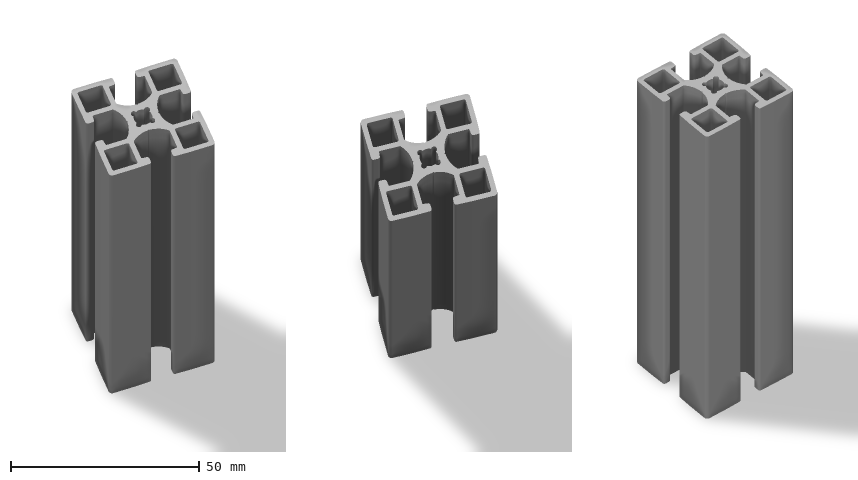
import cadquery as cq

LENGTH = 100.0
HALF_WIDTH = 30.0 / 2
CORNER_RADIUS = 1.0

SLOT_HALF_OPENING = 3.1
CHANNEL_HALF_WIDTH = 5.1
LIP_SLOPE_START = 8.0
LIP_SLOPE_DROP = 0.12
LIP_INNER_DEPTH = 2.4
LIP_ROOT_DEPTH = 2.6
LIP_RADIUS = 0.6
LIP_ROOT_RADIUS = 0.2
FLOOR_CENTER = 4.5
FLOOR_EDGE = 6.6

GUIDE_HALF_WIDTH = 0.2
GUIDE_DEPTH = 0.3

HOLLOW_SIDE = 7.1
HOLLOW_INNER = 6.5
HOLLOW_RADIUS = 0.5

BORE_RADIUS = 2.5
RELIEF_RADIUS = 0.8
RELIEF_OFFSET = 1.9

SIDES = 4
OVERLAP = 1.0
SELECT_MARGIN = 0.1


def make_blank():
    """Square bar with rounded long edges."""
    bar = cq.Workplane("XY").rect(2 * HALF_WIDTH, 2 * HALF_WIDTH).extrude(LENGTH)
    return bar.edges("|Z").fillet(CORNER_RADIUS)


def box_around(half_width, low_y, high_y):
    """Selector for edges centered at |X| up to half_width and Y from low_y to high_y."""
    return cq.selectors.BoxSelector(
        (-half_width - SELECT_MARGIN, low_y - SELECT_MARGIN, 0),
        (half_width + SELECT_MARGIN, high_y + SELECT_MARGIN, LENGTH),
    )


def make_slot_cutter():
    """T-slot void on the +Y side, with the sloping relief of the two lips."""
    slope_y = HALF_WIDTH - LIP_SLOPE_DROP
    lip_y = HALF_WIDTH - LIP_INNER_DEPTH
    root_y = HALF_WIDTH - LIP_ROOT_DEPTH
    outside_y = HALF_WIDTH + OVERLAP
    cutter = (
        cq.Workplane("XY")
        .moveTo(-LIP_SLOPE_START, outside_y)
        .lineTo(-LIP_SLOPE_START, HALF_WIDTH)
        .lineTo(-SLOT_HALF_OPENING, slope_y)
        .lineTo(-SLOT_HALF_OPENING, lip_y)
        .lineTo(-CHANNEL_HALF_WIDTH, root_y)
        .lineTo(-CHANNEL_HALF_WIDTH, FLOOR_EDGE)
        .threePointArc((0, FLOOR_CENTER), (CHANNEL_HALF_WIDTH, FLOOR_EDGE))
        .lineTo(CHANNEL_HALF_WIDTH, root_y)
        .lineTo(SLOT_HALF_OPENING, lip_y)
        .lineTo(SLOT_HALF_OPENING, slope_y)
        .lineTo(LIP_SLOPE_START, HALF_WIDTH)
        .lineTo(LIP_SLOPE_START, outside_y)
        .close()
        .extrude(LENGTH)
    )
    cutter = cutter.edges("|Z").edges(box_around(SLOT_HALF_OPENING, lip_y, slope_y)).fillet(LIP_RADIUS)
    return cutter.edges("|Z").edges(box_around(CHANNEL_HALF_WIDTH, root_y, root_y)).fillet(LIP_ROOT_RADIUS)


def make_guide_cutter():
    """V-shaped void in the middle of the +Y slot floor, open toward the slot."""
    bottom_y = FLOOR_CENTER - GUIDE_DEPTH
    open_y = FLOOR_CENTER + GUIDE_DEPTH
    open_half_width = 2 * GUIDE_HALF_WIDTH
    corners = [(0, bottom_y), (open_half_width, open_y), (-open_half_width, open_y)]
    return cq.Workplane("XY").polyline(corners).close().extrude(LENGTH)


def make_hollow_cutter():
    """Square void with rounded corners, in the +X +Y corner."""
    middle = HOLLOW_INNER + HOLLOW_SIDE / 2
    hollow = cq.Workplane("XY").center(middle, middle).rect(HOLLOW_SIDE, HOLLOW_SIDE).extrude(LENGTH)
    return hollow.edges("|Z").fillet(HOLLOW_RADIUS)


def make_bore_cutter():
    """Round void widened by four corner reliefs."""
    bore = cq.Workplane("XY").circle(BORE_RADIUS).extrude(LENGTH)
    reliefs = (
        cq.Workplane("XY")
        .rect(2 * RELIEF_OFFSET, 2 * RELIEF_OFFSET, forConstruction=True)
        .vertices()
        .circle(RELIEF_RADIUS)
        .extrude(LENGTH)
    )
    return bore.union(reliefs)


def make_profile():
    """Bar with the bore, the four slots and the four corner hollows removed."""
    profile = make_blank().cut(make_bore_cutter())
    slot = make_slot_cutter().union(make_guide_cutter())
    hollow = make_hollow_cutter()
    for side in range(SIDES):
        angle = side * 360 / SIDES
        profile = profile.cut(slot.rotate((0, 0, 0), (0, 0, 1), angle))
        profile = profile.cut(hollow.rotate((0, 0, 0), (0, 0, 1), angle))
    return profile


result = make_profile()